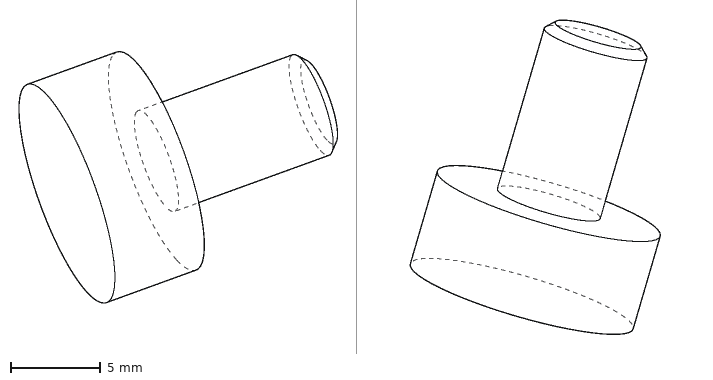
import cadquery as cq

total_length = 15.5
head_diameter = 13.0
head_length = 5.5
shank_diameter = 6.0
tip_chamfer = 0.5

shank_length = total_length - head_length


def cylinder_along_y(diameter, start_y, length):
    """Solid cylinder on the Y axis, running from start_y toward +Y."""
    start = cq.Vector(0, start_y, 0)
    return cq.Workplane(cq.Solid.makeCylinder(diameter / 2, length, start, cq.Vector(0, 1, 0)))


head = cylinder_along_y(head_diameter, -head_length, head_length)
shank = cylinder_along_y(shank_diameter, 0, shank_length)

shank = shank.faces(">Y").chamfer(tip_chamfer)

result = head.union(shank)